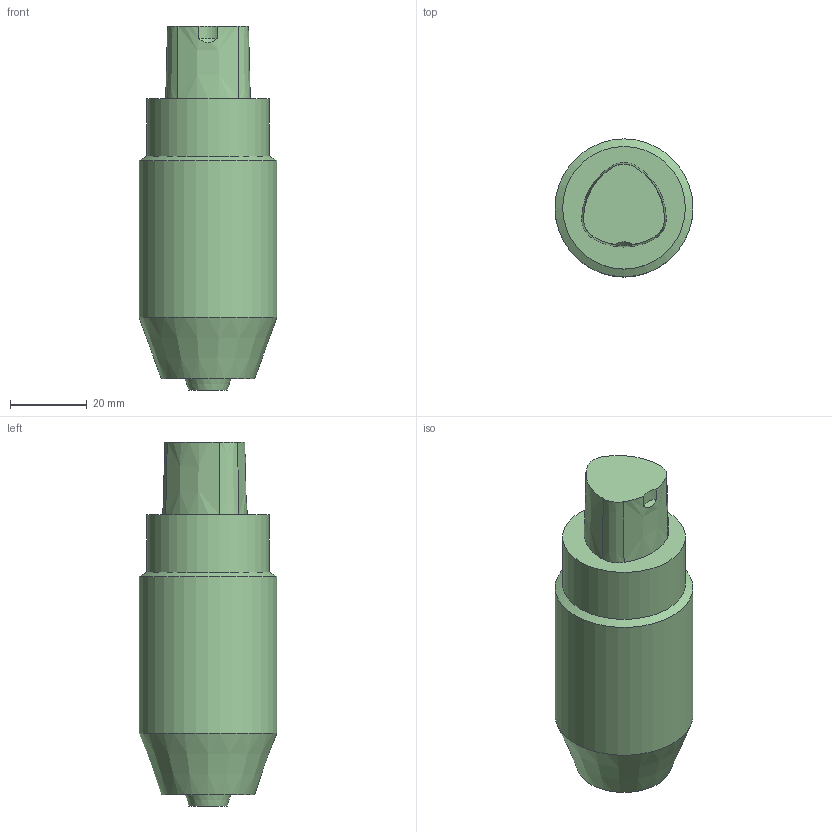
import cadquery as cq
import math

SHANK_TOP = 19.0
FLANGE_BOTTOM = -15.0
BODY_TOP = -16.15
BODY_BOTTOM = -57.0
TAPER_BOTTOM = -73.0
NOSE_BOTTOM = -76.0

FLANGE_RADIUS = 32.0 / 2
BODY_RADIUS = 36.0 / 2
TAPER_END_RADIUS = 12.2
NOSE_TOP_RADIUS = 6.0
NOSE_END_RADIUS = 5.0

SHANK_WIDTH = 22.08
LOBE_REACH = 11.83
TAPER_PER_SIDE = 1.0 / 20 / 2
LOBE_ANGLES = (90.0, 210.0, 330.0)
ARC_HALF_ANGLE = 30.0

NOTCH_RADIUS = 4.4
NOTCH_BACK_Y = -8.9
NOTCH_WALL_DEPTH = 3.2
NOTCH_CONE_SLOPE = 1.2


def polar(center, radius, angle):
    """Point at a radius and angle (degrees) around a center."""
    turn = math.radians(angle)
    return (center[0] + radius * math.cos(turn), center[1] + radius * math.sin(turn))


def turned_body():
    """Flange, chamfered cylindrical body, tapered end and small nose."""
    half_section = [
        (0, 0),
        (FLANGE_RADIUS, 0),
        (FLANGE_RADIUS, FLANGE_BOTTOM),
        (BODY_RADIUS, BODY_TOP),
        (BODY_RADIUS, BODY_BOTTOM),
        (TAPER_END_RADIUS, TAPER_BOTTOM),
        (NOSE_TOP_RADIUS, TAPER_BOTTOM),
        (NOSE_END_RADIUS, NOSE_BOTTOM),
        (0, NOSE_BOTTOM),
    ]
    return cq.Workplane("XZ").polyline(half_section).close().revolve(360, (0, 0), (0, 1))


def add_shank_outline(plane, inset):
    """Rounded triangle of six tangent arcs, moved inward by inset.

    Each flank arc is centered on the opposite lobe center, so the flank and lobe
    radii add up to the width and differ by the distance between lobe centers.
    """
    flank_reach = SHANK_WIDTH - LOBE_REACH
    center_distance = (LOBE_REACH - flank_reach) / (2 - math.sqrt(3))
    lobe_radius = LOBE_REACH - center_distance - inset
    flank_radius = flank_reach + center_distance - inset

    first_center = polar((0, 0), center_distance, LOBE_ANGLES[0])
    outline = plane.moveTo(*polar(first_center, lobe_radius, LOBE_ANGLES[0] - ARC_HALF_ANGLE))
    for lobe_angle in LOBE_ANGLES:
        lobe_center = polar((0, 0), center_distance, lobe_angle)
        lobe_end = lobe_angle + ARC_HALF_ANGLE
        outline = outline.threePointArc(
            polar(lobe_center, lobe_radius, lobe_angle),
            polar(lobe_center, lobe_radius, lobe_end),
        )
        flank_angle = lobe_end + ARC_HALF_ANGLE
        opposite_center = polar((0, 0), center_distance, flank_angle + 180)
        outline = outline.threePointArc(
            polar(opposite_center, flank_radius, flank_angle),
            polar(opposite_center, flank_radius, flank_angle + ARC_HALF_ANGLE),
        )
    return outline.close()


def shank():
    """Lobed shank that narrows evenly from the flange to its top."""
    base = add_shank_outline(cq.Workplane("XY"), 0)
    top_plane = base.workplane(offset=SHANK_TOP, origin=(0, 0, 0))
    return add_shank_outline(top_plane, SHANK_TOP * TAPER_PER_SIDE).loft(ruled=True)


def notch_cutter():
    """Drill with a conical tip, its axis parallel to Z and outside the shank."""
    wall_bottom = SHANK_TOP - NOTCH_WALL_DEPTH
    tip = wall_bottom - NOTCH_RADIUS * NOTCH_CONE_SLOPE
    half_section = [
        (0, tip),
        (NOTCH_RADIUS, wall_bottom),
        (NOTCH_RADIUS, SHANK_TOP),
        (0, SHANK_TOP),
    ]
    drill = cq.Workplane("XZ").polyline(half_section).close().revolve(360, (0, 0), (0, 1))
    return drill.translate((0, NOTCH_BACK_Y - NOTCH_RADIUS, 0))


result = turned_body().union(shank().cut(notch_cutter()))